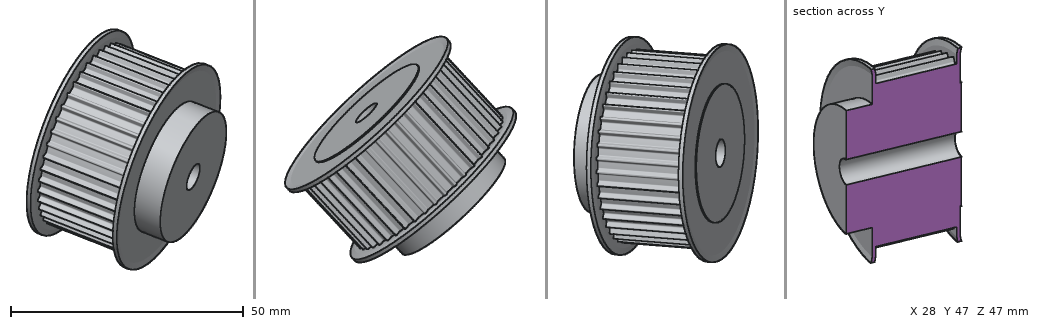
import cadquery as cq
import math

total_length = 28.0
belt_section_length = 22.0
hub_radius = 15.0
bore_diameter = 6.0

flange_radius = 23.5
flange_bend_radius = 22.0
flange_thickness = 1.0
flange_bend_offset = 0.3

tooth_count = 44
tip_radius = 20.8
groove_depth = 1.05
groove_floor_width = 1.6
groove_flank_angle = 25.0
tip_round = 0.2
root_round = 0.3
distance_tolerance = 0.005

root_radius = tip_radius - groove_depth
tooth_pitch = 2 * math.pi / tooth_count
belt_face_start = flange_thickness + flange_bend_offset
belt_face_length = belt_section_length - 2 * belt_face_start


def polar(radius, angle):
    """Point at the given radius and angle in radians."""
    return (radius * math.cos(angle), radius * math.sin(angle))


def cylinder(radius, length):
    """Cylinder about the X axis, starting at X = 0."""
    return cq.Workplane("YZ").circle(radius).extrude(length)


def round_long_edges(solid, radius, round_radius):
    """Fillet the edges along X that lie at the given distance from the axis."""
    edges = [
        edge
        for edge in cq.Workplane(solid).edges("|X").vals()
        if abs(math.hypot(edge.Center().y, edge.Center().z) - radius) < distance_tolerance
    ]
    return solid.fillet(round_radius, edges)


def toothed_rim():
    """Toothed belt face with all grooves in one closed outline, corners rounded."""
    half_floor = groove_floor_width / 2
    corner_x = math.sqrt(root_radius**2 - half_floor**2)
    slope = math.radians(groove_flank_angle)
    along = corner_x * math.cos(slope) + half_floor * math.sin(slope)
    flank_length = math.sqrt(along**2 + tip_radius**2 - root_radius**2) - along
    floor_angle = math.atan2(half_floor, corner_x)
    tip_angle = math.atan2(
        half_floor + flank_length * math.sin(slope), corner_x + flank_length * math.cos(slope)
    )

    outline = cq.Workplane("YZ").workplane(offset=belt_face_start)
    outline = outline.moveTo(*polar(root_radius, -floor_angle))
    for index in range(tooth_count):
        middle = index * tooth_pitch
        following = middle + tooth_pitch
        outline = outline.threePointArc(
            polar(root_radius, middle), polar(root_radius, middle + floor_angle)
        )
        outline = outline.lineTo(*polar(tip_radius, middle + tip_angle))
        outline = outline.threePointArc(
            polar(tip_radius, middle + tooth_pitch / 2), polar(tip_radius, following - tip_angle)
        )
        if index < tooth_count - 1:
            outline = outline.lineTo(*polar(root_radius, following - floor_angle))
    rim = outline.close().extrude(belt_face_length).val()
    rim = round_long_edges(rim, tip_radius, tip_round)
    rim = round_long_edges(rim, root_radius, root_round)
    return cq.Workplane(rim)


def flange(rim_face, outward):
    """Flange with its outermost rim face at X = rim_face, leaning in the direction outward."""
    inward = -outward
    flat_outer = rim_face + inward * flange_bend_offset
    flat_inner = flat_outer + inward * flange_thickness
    rim_inner = rim_face + inward * flange_thickness
    section = (
        cq.Workplane("XY")
        .moveTo(flat_outer, 0)
        .lineTo(flat_outer, flange_bend_radius)
        .lineTo(rim_face, flange_radius)
        .lineTo(rim_inner, flange_radius)
        .lineTo(flat_inner, flange_bend_radius)
        .lineTo(flat_inner, 0)
        .close()
    )
    return section.revolve(360, (0, 0, 0), (1, 0, 0))


front_flange = flange(0, -1)
rear_flange = flange(belt_section_length, 1)
hub = cylinder(hub_radius, total_length)
bore = cylinder(bore_diameter / 2, total_length)

result = toothed_rim().union(front_flange).union(rear_flange).union(hub).cut(bore)